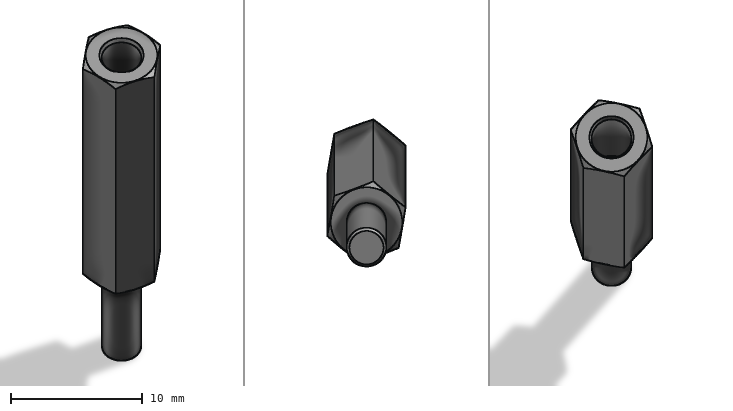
import cadquery as cq
import math

total_length = 35.0
stud_length = 10.0
hex_length = total_length - stud_length
across_flats = 5.5
across_corners = across_flats / math.cos(math.pi / 6)

face_diameter = 5.42
corner_chamfer_height = 0.25

stud_diameter = 3.0
stud_chamfer = 0.2

hole_diameter = 3.0
hole_depth = 10.0
hole_chamfer_width = 0.18
hole_chamfer_height = 0.3
drill_point_angle = math.radians(118)
drill_point_height = hole_diameter / 2 / math.tan(drill_point_angle / 2)


def revolve_profile(points):
    """Revolve a closed (radius, height) outline around the Z axis."""
    return cq.Workplane("XZ").polyline(points).close().revolve(360, (0, 0, 0), (0, 1, 0))


def hex_body():
    """Hexagon with corners on the X axis, trimmed by a cone at both ends."""
    prism = cq.Workplane("XY").workplane(offset=stud_length).polygon(6, across_corners).extrude(hex_length)
    face_radius = face_diameter / 2
    corner_radius = across_corners / 2
    envelope = revolve_profile([
        (0, stud_length),
        (face_radius, stud_length),
        (corner_radius, stud_length + corner_chamfer_height),
        (corner_radius, total_length - corner_chamfer_height),
        (face_radius, total_length),
        (0, total_length),
    ])
    return prism.intersect(envelope)


def stud():
    """Cylindrical stud with a chamfered tip at Z = 0."""
    return cq.Workplane("XY").circle(stud_diameter / 2).extrude(stud_length).faces("<Z").chamfer(stud_chamfer)


def blind_hole():
    """Cutter for the hole, its drill point and its entry chamfer."""
    hole_radius = hole_diameter / 2
    hole_bottom = total_length - hole_depth
    return revolve_profile([
        (0, hole_bottom - drill_point_height),
        (hole_radius, hole_bottom),
        (hole_radius, total_length - hole_chamfer_height),
        (hole_radius + hole_chamfer_width, total_length),
        (0, total_length),
    ])


result = hex_body().union(stud()).cut(blind_hole())